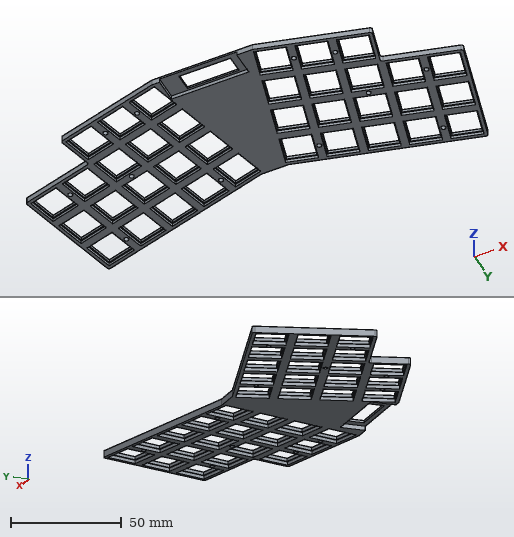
import cadquery as cq
import math

LENGTH = 220.3
WIDTH = 97.0
THICKNESS = 3.0

TILT = 15.0
COLUMNS = 5
ROWS = 4
OUTER_ROWS = 3
FIVE_COLUMN_SPAN = 76.2
PITCH = FIVE_COLUMN_SPAN / (COLUMNS - 1)
BRIDGE = 5.0
KEY_SIZE = PITCH - BRIDGE
LIP_THICKNESS = 1.5
RELIEF = 0.55
RIM = 9.3
CORNER_RADIUS = 1.0
STEP_COLUMN = 2

BACK_EDGE_Y = 25.0
FRONT_EDGE_Y = -WIDTH / 2

HOLE_DIAMETER = 2.2
HOLE_CELLS = [(0.5, 0), (3.5, 0), (0.5, 2), (2, 1.5), (2.5, 3), (3.5, 3)]

WINDOW_LENGTH = 26.0
WINDOW_WIDTH = 8.5
WINDOW_RIM = 2.5
RECESS_LEFT_X = -21.5
RECESS_RIGHT_X = 17.5
RECESS_HEIGHT = 2.0
RECESS_DEPTH = 12.1

COS = math.cos(math.radians(TILT))
SIN = math.sin(math.radians(TILT))


def rotated(u, v):
    """Turn a vector of the left key grid into plate directions."""
    return u * COS + v * SIN, v * COS - u * SIN


CORNER_LOSS = CORNER_RADIUS * (COS + SIN - 1)
OUTER_DEPTH = (OUTER_ROWS - 1) * PITCH
GRID_X = -LENGTH / 2 - CORNER_LOSS - rotated(-RIM, -OUTER_DEPTH - RIM)[0]
GRID_Y = WIDTH / 2 + CORNER_LOSS - rotated(-RIM, RIM)[1]


def grid_point(u, v):
    """Plate position of a point given from the centre of the outermost back key."""
    x, y = rotated(u, v)
    return GRID_X + x, GRID_Y + y


def cell_centre(column, row):
    return grid_point(column * PITCH, -row * PITCH)


def edge_point_at(y, v):
    """Where the grid line at height v crosses the given Y."""
    u = (GRID_Y + v * COS - y) / SIN
    return grid_point(u, v)


def half_blank():
    """Left half of the plate outline, closed along the centre plane."""
    step_u = STEP_COLUMN * PITCH - RIM
    step_v = -OUTER_DEPTH - RIM
    front_v = -(ROWS - 1) * PITCH - RIM
    rounded = [
        grid_point(-RIM, RIM),
        grid_point(-RIM, step_v),
        grid_point(step_u, step_v),
        grid_point(step_u, front_v),
    ]
    outline = [
        (0, BACK_EDGE_Y),
        edge_point_at(BACK_EDGE_Y, RIM),
        *rounded,
        edge_point_at(FRONT_EDGE_Y, front_v),
        (0, FRONT_EDGE_Y),
    ]
    blank = cq.Workplane("XY").polyline(outline).close().extrude(THICKNESS)
    for x, y in rounded:
        corner = cq.selectors.NearestToPointSelector((x, y, THICKNESS / 2))
        blank = blank.edges("|Z").edges(corner).fillet(CORNER_RADIUS)
    return blank


def key_openings():
    """Square openings at every cell of the left grid, slightly wider below the lip."""
    centres = [
        cell_centre(column, row)
        for row in range(ROWS)
        for column in range(COLUMNS)
        if row < OUTER_ROWS or column >= STEP_COLUMN
    ]
    opening = cq.Workplane("XY").rect(KEY_SIZE, KEY_SIZE).extrude(THICKNESS)
    relief_size = KEY_SIZE + 2 * RELIEF
    relief = cq.Workplane("XY").rect(relief_size, relief_size).extrude(THICKNESS - LIP_THICKNESS)
    opening = opening.union(relief).rotate((0, 0, 0), (0, 0, 1), -TILT).val()
    return cq.Workplane("XY").pushPoints(centres).eachpoint(lambda place: opening.moved(place))


def screw_holes():
    centres = [cell_centre(column, row) for column, row in HOLE_CELLS]
    return cq.Workplane("XY").pushPoints(centres).circle(HOLE_DIAMETER / 2).extrude(THICKNESS)


def window():
    centre_y = FRONT_EDGE_Y + WINDOW_RIM + WINDOW_WIDTH / 2
    return cq.Workplane("XY").center(0, centre_y).rect(WINDOW_LENGTH, WINDOW_WIDTH).extrude(THICKNESS)


def front_recess():
    """Off-centre underside recess, open at the front edge and reaching past the window."""
    length = RECESS_RIGHT_X - RECESS_LEFT_X
    base = cq.Workplane("XY").center(RECESS_LEFT_X, FRONT_EDGE_Y)
    return base.rect(length, RECESS_DEPTH, centered=False).extrude(RECESS_HEIGHT)


left_half = half_blank().cut(key_openings()).cut(screw_holes())
plate = left_half.union(left_half.mirror("YZ"))
result = plate.cut(window()).cut(front_recess()).clean()